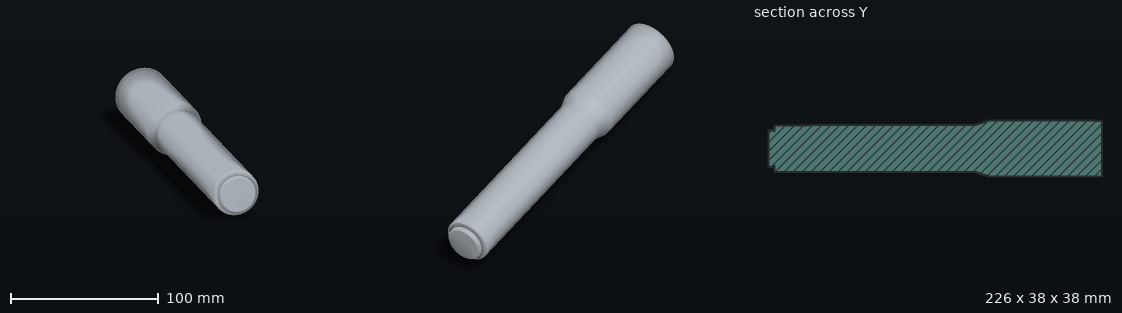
import cadquery as cq

total_length = 226.0
grip_diameter = 38.0
shank_diameter = 31.9
spigot_diameter = 25.3

grip_length = 77.0
taper_length = 9.5
spigot_length = 4.0
shank_length = total_length - grip_length - taper_length - spigot_length

shank_chamfer = 0.7
spigot_chamfer = 0.7


def cylinder(start_x, length, diameter):
    """Solid round section on the X axis."""
    return cq.Workplane("YZ", origin=(start_x, 0, 0)).circle(diameter / 2).extrude(length)


def taper(start_x, length, start_diameter, end_diameter):
    """Solid cone frustum on the X axis."""
    return cq.Workplane("XY").add(
        cq.Solid.makeCone(
            start_diameter / 2,
            end_diameter / 2,
            length,
            pnt=cq.Vector(start_x, 0, 0),
            dir=cq.Vector(1, 0, 0),
        )
    )


shank_start = grip_length + taper_length
spigot_start = shank_start + shank_length

grip = cylinder(0, grip_length, grip_diameter)
neck = taper(grip_length, taper_length, grip_diameter, shank_diameter)
shank = cylinder(shank_start, shank_length, shank_diameter).faces(">X").chamfer(shank_chamfer)
spigot = cylinder(spigot_start, spigot_length, spigot_diameter).faces("<X or >X").chamfer(spigot_chamfer)

result = grip.union(neck).union(shank).union(spigot)